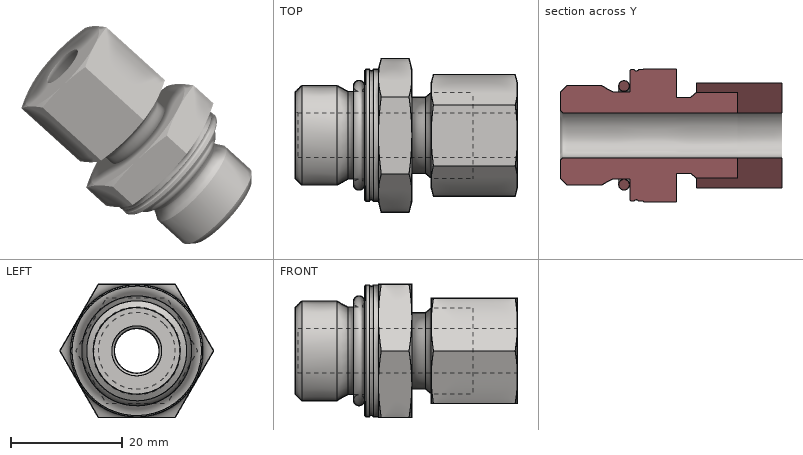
import cadquery as cq
import math


thread_end = 7.5
undercut_start = 9.5
collar_start = 12.5
body_hex_start = 15.0
body_hex_end = 21.0
neck_end = 23.5
nut_start = 24.5
stub_end = 32.0
total_length = 40.0

bore_radius = 4.0
bore_chamfer = 0.5
thread_radius = 9.0
thread_chamfer = 1.2
undercut_radius = 7.9
collar_radius = 11.9
collar_chamfer = 0.25
groove_start = 13.35
groove_end = 14.1
groove_depth = 0.25
body_across_flats = 24.0
neck_radius = 6.9
stub_radius = 7.75

seal_section_radius = 1.0
seal_ring_radius = undercut_radius + seal_section_radius

nut_across_flats = 19.0

hex_chamfer_angle = 15.0


def revolve_about_x(profile):
    """Turn a closed (x, radius) profile around the X axis."""
    return profile.close().revolve(360, (0, 0, 0), (1, 0, 0))


def cylinder(start, end, radius):
    """Round bar along X."""
    return cq.Workplane("YZ", origin=(start, 0, 0)).circle(radius).extrude(end - start)


def chamfered_hex(start, end, across_flats):
    """Hexagonal bar along X, flats facing +Z and -Z, with turned chamfers on both ends."""
    corner_radius = across_flats / math.sqrt(3)
    face_radius = across_flats / 2
    chamfer_length = (corner_radius - face_radius) * math.tan(math.radians(hex_chamfer_angle))
    bar = cq.Workplane("YZ", origin=(start, 0, 0)).polygon(6, 2 * corner_radius).extrude(end - start)
    envelope = revolve_about_x(
        cq.Workplane("XY")
        .moveTo(start, 0)
        .lineTo(start, face_radius)
        .lineTo(start + chamfer_length, corner_radius)
        .lineTo(end - chamfer_length, corner_radius)
        .lineTo(end, face_radius)
        .lineTo(end, 0)
    )
    return bar.intersect(envelope)


def make_body():
    """Screw-in spigot, grooved collar, hexagon and the stub that carries the nut."""
    groove_middle = (groove_start + groove_end) / 2
    spigot = revolve_about_x(
        cq.Workplane("XY")
        .moveTo(0, 0)
        .lineTo(0, thread_radius - thread_chamfer)
        .lineTo(thread_chamfer, thread_radius)
        .lineTo(thread_end, thread_radius)
        .lineTo(undercut_start, undercut_radius)
        .lineTo(collar_start, undercut_radius)
        .lineTo(collar_start, collar_radius - collar_chamfer)
        .lineTo(collar_start + collar_chamfer, collar_radius)
        .lineTo(groove_start, collar_radius)
        .threePointArc(
            (groove_middle, collar_radius - groove_depth),
            (groove_end, collar_radius),
        )
        .lineTo(body_hex_start, collar_radius)
        .lineTo(body_hex_start, 0)
    )
    hexagon = chamfered_hex(body_hex_start, body_hex_end, body_across_flats)
    stub = revolve_about_x(
        cq.Workplane("XY")
        .moveTo(body_hex_end, 0)
        .lineTo(body_hex_end, neck_radius)
        .lineTo(neck_end, neck_radius)
        .lineTo(nut_start, stub_radius)
        .lineTo(stub_end, stub_radius)
        .lineTo(stub_end, 0)
    )
    bore = cylinder(0, stub_end, bore_radius)
    bore_mouth = revolve_about_x(
        cq.Workplane("XY")
        .moveTo(0, 0)
        .lineTo(0, bore_radius + bore_chamfer)
        .lineTo(bore_chamfer, bore_radius)
        .lineTo(bore_chamfer, 0)
    )
    return spigot.union(hexagon).union(stub).cut(bore).cut(bore_mouth)


def make_seal():
    """Round-section ring lying on the undercut and touching the collar face."""
    return (
        cq.Workplane("XY")
        .center(collar_start - seal_section_radius, seal_ring_radius)
        .circle(seal_section_radius)
        .revolve(360, (0, -seal_ring_radius, 0), (1, -seal_ring_radius, 0))
    )


def make_nut():
    """Hexagonal union nut with a blind socket over the stub and a bore through its end."""
    nut = chamfered_hex(nut_start, total_length, nut_across_flats)
    socket = cylinder(nut_start, stub_end, stub_radius)
    return nut.cut(socket).cut(cylinder(stub_end, total_length, bore_radius))


body = make_body()
seal = make_seal()
nut = make_nut()
result = cq.Compound.makeCompound([body.val(), seal.val(), nut.val()])